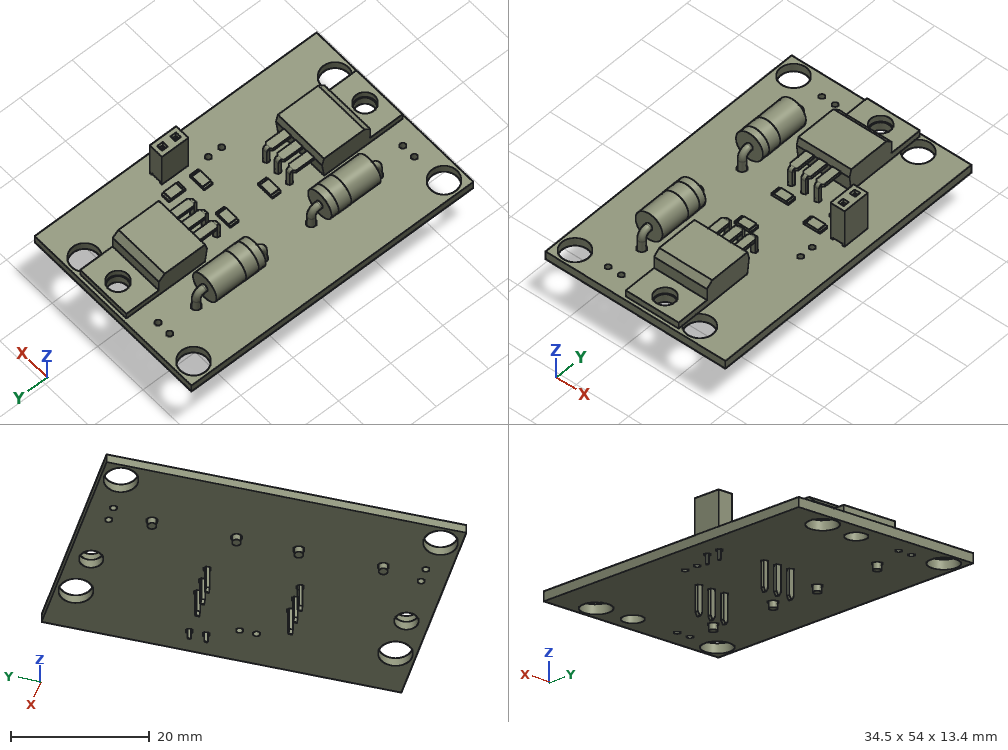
import cadquery as cq

BOARD_X = 34.5
BOARD_Y = 54.0
BOARD_T = 1.55
CORNER_HOLE_D = 5.0
CORNER_MARGIN = 3.0
CORNER_PITCH_X = 23.9
VIA_D = 1.0
PIN_PITCH = 2.55
WIRE_HOLE_X = -7.1
WIRE_HOLE_Y = 23.45
SIDE_HOLE_X = 11.2
SIDE_HOLE_Y = -2.25
LIFT = 0.1

TRANSISTOR_X = 2.75
TRANSISTOR_W = 10.15
TAB_END_Y = 26.45
TAB_TOP_Z = 1.3
TAB_HOLE_Y = 23.65
TAB_HOLE_D = 3.7
SCREW_HOLE_D = 3.5
CASE_BACK_Y = 20.25
CASE_FRONT_Y = 11.4
CASE_TOP_Z = 4.5
CASE_CHAMFER_Y = 1.15
CASE_CHAMFER_Z = 0.95
NOSE_Y = 11.0
NOSE_Z = 3.1

LEAD_COUNT = 3
LEAD_T = 0.55
LEAD_TOP_Z = 3.2
LEAD_WIDE = 1.55
LEAD_NARROW = 0.85
LEAD_PIN_Y = 6.95
LEAD_SHOULDER_Y = 7.55
LEAD_BEND_R = 0.65
LEAD_TAPER_Z = -5.6
LEAD_END_Z = -6.2
LEAD_TIP_W = 0.15
LEAD_HOLE_D = 1.1

DIODE_X = -7.25
DIODE_Y = 11.0
DIODE_Z = 3.2
DIODE_D = 5.2
DIODE_L = 9.45
BAND_D = 5.25
BAND_W = 2.45
BAND_MARGIN = 1.35
WIRE_D = 1.3
WIRE_PITCH = 12.7
WIRE_BEND_R = 1.3
WIRE_END_Z = -2.55
WIRE_CLEARANCE_D = 1.6

CHIPS = [(1.3, 4.0, 0), (8.7, 2.55, 0), (9.65, 6.95, 90), (1.15, -3.95, 0)]
CHIP_L = 3.2
CHIP_W = 1.6
CHIP_TERMINAL_L = 0.4
CHIP_TERMINAL_Z = 0.5
CHIP_TOP_Z = 0.65

SOCKET_X = 13.3
SOCKET_Y = 4.7
SOCKET_W = 2.7
SOCKET_L = 5.1
SOCKET_H = 7.15
SOCKET_SLOT_W = 1.8
SOCKET_SLOT_H = 0.3
SOCKET_MOUTH = 1.1
SOCKET_BORE = 0.55
SOCKET_FUNNEL_H = 0.25
SOCKET_BORE_DEPTH = 4.3
SOCKET_PIN_X = 0.15
SOCKET_PIN_Y = 0.55
SOCKET_PIN_END_Z = -3.1
SOCKET_PIN_CHAMFER = 0.15
SOCKET_HOLE_D = 1.0

HALF_TURNS = (0, 180)
PAIR = (-PIN_PITCH / 2, PIN_PITCH / 2)
LEAD_OFFSETS = [(i - (LEAD_COUNT - 1) / 2) * PIN_PITCH for i in range(LEAD_COUNT)]


def make_board():
    """Plain plate with corner, wire, screw and lead holes."""
    left = CORNER_MARGIN - BOARD_X / 2
    corner_y = BOARD_Y / 2 - CORNER_MARGIN
    both_ends = (-1, 1)
    corners = [(x, s * corner_y) for x in (left, left + CORNER_PITCH_X) for s in both_ends]
    vias = [(WIRE_HOLE_X + d, s * WIRE_HOLE_Y) for d in PAIR for s in both_ends]
    vias += [(SIDE_HOLE_X, SIDE_HOLE_Y + d) for d in PAIR]
    screws = [(TRANSISTOR_X, s * TAB_HOLE_Y) for s in both_ends]
    leads = [(TRANSISTOR_X + d, s * LEAD_PIN_Y) for d in LEAD_OFFSETS for s in both_ends]
    wires = [(DIODE_X, s * DIODE_Y + e * WIRE_PITCH / 2) for s in both_ends for e in both_ends]
    socket_pins = [(SOCKET_X, SOCKET_Y + d) for d in PAIR]
    board = cq.Workplane("XY").box(BOARD_X, BOARD_Y, BOARD_T).translate((0, 0, -BOARD_T / 2))
    for points, diameter in (
        (corners, CORNER_HOLE_D),
        (vias, VIA_D),
        (screws, SCREW_HOLE_D),
        (leads, LEAD_HOLE_D),
        (wires, WIRE_CLEARANCE_D),
        (socket_pins, SOCKET_HOLE_D),
    ):
        drills = cq.Workplane("XY").pushPoints(points).circle(diameter / 2).extrude(-BOARD_T)
        board = board.cut(drills)
    return board


def make_lead():
    """One flat lead: out of the case, rounded bend, then down to a pointed tip."""
    pin_outer = LEAD_PIN_Y - LEAD_T / 2
    pin_inner = LEAD_PIN_Y + LEAD_T / 2
    inner_r = LEAD_BEND_R - LEAD_T
    under_z = LEAD_TOP_Z - LEAD_T
    strip = (
        cq.Workplane("YZ")
        .moveTo(CASE_FRONT_Y, LEAD_TOP_Z)
        .lineTo(pin_outer + LEAD_BEND_R, LEAD_TOP_Z)
        .radiusArc((pin_outer, LEAD_TOP_Z - LEAD_BEND_R), -LEAD_BEND_R)
        .lineTo(pin_outer, LEAD_END_Z)
        .lineTo(pin_inner, LEAD_END_Z)
        .lineTo(pin_inner, under_z - inner_r)
        .radiusArc((pin_inner + inner_r, under_z), inner_r)
        .lineTo(CASE_FRONT_Y, under_z)
        .close()
        .extrude(LEAD_WIDE / 2, both=True)
    )
    wide = LEAD_WIDE / 2
    narrow = LEAD_NARROW / 2
    tip = LEAD_TIP_W / 2
    taper_end_y = LEAD_SHOULDER_Y - (wide - narrow)
    plan = (
        cq.Workplane("XY")
        .polyline([
            (-wide, CASE_FRONT_Y), (-wide, LEAD_SHOULDER_Y), (-narrow, taper_end_y), (-narrow, pin_outer),
            (narrow, pin_outer), (narrow, taper_end_y), (wide, LEAD_SHOULDER_Y), (wide, CASE_FRONT_Y),
        ])
        .close()
        .extrude(LEAD_TOP_Z - LEAD_END_Z)
        .translate((0, 0, LEAD_END_Z))
    )
    face = (
        cq.Workplane("XZ")
        .polyline([
            (-wide, LEAD_TOP_Z), (-wide, LEAD_TAPER_Z + wide - narrow), (-narrow, LEAD_TAPER_Z),
            (-tip, LEAD_END_Z), (tip, LEAD_END_Z),
            (narrow, LEAD_TAPER_Z), (wide, LEAD_TAPER_Z + wide - narrow), (wide, LEAD_TOP_Z),
        ])
        .close()
        .extrude(-CASE_FRONT_Y)
    )
    return strip.intersect(plan).intersect(face)


def make_transistor(turn):
    """Tab, case and three leads, laid flat with the tab towards the board's end."""
    profile = [
        (TAB_END_Y, LIFT),
        (TAB_END_Y, TAB_TOP_Z),
        (CASE_BACK_Y, TAB_TOP_Z),
        (CASE_BACK_Y, CASE_TOP_Z - CASE_CHAMFER_Z),
        (CASE_BACK_Y - CASE_CHAMFER_Y, CASE_TOP_Z),
        (CASE_FRONT_Y, CASE_TOP_Z),
        (NOSE_Y, NOSE_Z),
        (CASE_FRONT_Y, LIFT),
    ]
    body = cq.Workplane("YZ").polyline(profile).close().extrude(TRANSISTOR_W / 2, both=True)
    tab_hole = cq.Workplane("XY").center(0, TAB_HOLE_Y).circle(TAB_HOLE_D / 2).extrude(TAB_TOP_Z)
    body = body.cut(tab_hole)
    for offset in LEAD_OFFSETS:
        body = body.union(make_lead().translate((offset, 0, 0)))
    return body.rotate((0, 0, 0), (0, 0, 1), turn).translate((TRANSISTOR_X, 0, 0))


def make_diode(turn):
    """Cylinder with a raised band near the inner end and one wire bent down from each end."""
    inner_end = DIODE_Y - DIODE_L / 2
    front = cq.Workplane("XZ", origin=(0, inner_end, DIODE_Z))
    body = front.circle(DIODE_D / 2).extrude(-DIODE_L)
    band = front.workplane(offset=-BAND_MARGIN).circle(BAND_D / 2).extrude(-BAND_W)
    half_pitch = WIRE_PITCH / 2
    bend = WIRE_BEND_R
    path = (
        cq.Workplane("YZ")
        .moveTo(DIODE_Y - half_pitch, WIRE_END_Z)
        .lineTo(DIODE_Y - half_pitch, DIODE_Z - bend)
        .radiusArc((DIODE_Y - half_pitch + bend, DIODE_Z), bend)
        .lineTo(DIODE_Y + half_pitch - bend, DIODE_Z)
        .radiusArc((DIODE_Y + half_pitch, DIODE_Z - bend), bend)
        .lineTo(DIODE_Y + half_pitch, WIRE_END_Z)
    )
    start = cq.Workplane("XY", origin=(0, DIODE_Y - half_pitch, WIRE_END_Z))
    wire = start.circle(WIRE_D / 2).sweep(path)
    diode = body.union(band).union(wire)
    return diode.rotate((0, 0, 0), (0, 0, 1), turn).translate((DIODE_X, 0, 0))


def make_chip(x, y, turn):
    """Chip part whose middle stands above its two end terminals."""
    base_h = CHIP_TERMINAL_Z - LIFT
    base = cq.Workplane("XY").box(CHIP_L, CHIP_W, base_h, centered=(True, True, False))
    middle_l = CHIP_L - 2 * CHIP_TERMINAL_L
    middle = cq.Workplane("XY").box(middle_l, CHIP_W, CHIP_TOP_Z - LIFT, centered=(True, True, False))
    chip = base.union(middle)
    return chip.rotate((0, 0, 0), (0, 0, 1), turn).translate((x, y, LIFT))


def make_socket():
    """Two-way socket block on two feet, with a funnel mouth and a pin for each way."""
    socket = cq.Workplane("XY").box(SOCKET_W, SOCKET_L, SOCKET_H, centered=(True, True, False))
    slot = cq.Workplane("XY").box(SOCKET_SLOT_W, SOCKET_L, SOCKET_SLOT_H, centered=(True, True, False))
    socket = socket.cut(slot)
    for offset in PAIR:
        top = cq.Workplane("XY", origin=(0, offset, SOCKET_H))
        funnel = (
            top.rect(SOCKET_MOUTH, SOCKET_MOUTH)
            .workplane(offset=-SOCKET_FUNNEL_H)
            .rect(SOCKET_BORE, SOCKET_BORE)
            .loft()
        )
        bore = top.rect(SOCKET_BORE, SOCKET_BORE).extrude(-SOCKET_BORE_DEPTH)
        pin = (
            cq.Workplane("XY", origin=(0, offset, SOCKET_PIN_END_Z))
            .rect(SOCKET_PIN_X, SOCKET_PIN_Y)
            .extrude(SOCKET_SLOT_H - SOCKET_PIN_END_Z)
            .faces("<Z")
            .edges("|X")
            .chamfer(SOCKET_PIN_CHAMFER)
        )
        socket = socket.cut(funnel).cut(bore).union(pin)
    return socket.translate((SOCKET_X, SOCKET_Y, 0))


board = make_board()
transistors = [make_transistor(turn) for turn in HALF_TURNS]
diodes = [make_diode(turn) for turn in HALF_TURNS]
chips = [make_chip(x, y, turn) for x, y, turn in CHIPS]
socket = make_socket()

bodies = [board, *transistors, *diodes, *chips, socket]
result = cq.Compound.makeCompound([body.solids().val() for body in bodies])